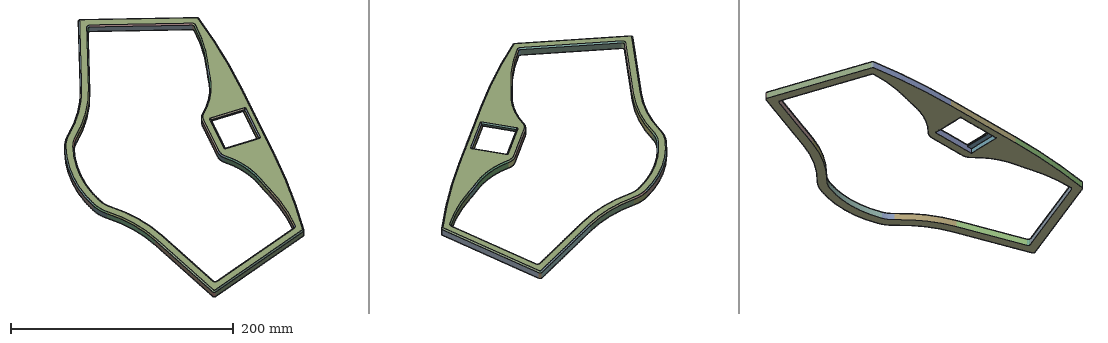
import cadquery as cq
import math

HALF_WIDTH = 167.5
DEPTH = 179.5
THICKNESS = 8.0

BAR_WIDTH = 8.7
SLANT = 20.0
SIDE_LENGTH = 107.8
INNER_SIDE_LENGTH = 94.8
CORNER_RADIUS = 2.0
TOP_CHAMFER = 1.5

LOWER_STEEPEST = 46.4
LOWER_ARCS = [(104.8, SLANT), (33.8, LOWER_STEEPEST), (-116.0, SLANT)]

TOP_FLAT_HALF = 40.2
BRIDGE_FLAT_HALF = 18.8
BRIDGE_DEPTH = 47.0
BRIDGE_BOTTOM = DEPTH - BRIDGE_DEPTH
BRIDGE_JOINTS = [(-27.5, 136.3), (-63.3, 156.0), (-76.7, 159.5)]

WINDOW_WIDTH = 34.8
WINDOW_HEIGHT = 32.0
WINDOW_TOP_GAP = 6.7
MOUTH_SPREAD = 1.45
MOUTH_DEPTH = 1.0
POCKET_OVERLAP = 5.0
POCKET_DEPTH = 5.0

COS = math.cos(math.radians(SLANT))
SIN = math.sin(math.radians(SLANT))


def lower_joints(inset):
    """Ends of the arcs of the lower edge, moved inwards by inset, from the middle to the left."""
    x = 0.0
    y = inset
    slope = 0.0
    joints = [(x, y)]
    for outer_radius, end_slope in LOWER_ARCS:
        radius = outer_radius - inset
        start = math.radians(slope)
        end = math.radians(end_slope)
        x -= radius * (math.sin(end) - math.sin(start))
        y += radius * (math.cos(start) - math.cos(end))
        slope = end_slope
        joints.append((x, y))
    return joints


def lower_corner(inset):
    """Sharp corner between the lower edge and the left side, moved inwards by inset."""
    end_x, end_y = lower_joints(0)[-1]
    corner_x = -HALF_WIDTH - CORNER_RADIUS * (COS + SIN - 1)
    corner_y = end_y + (end_x - corner_x) * SIN / COS
    return corner_x + inset * (COS + SIN), corner_y + inset * (COS - SIN)


def upper_corner(inset, side_length):
    """Sharp corner at the upper end of the left side."""
    x, y = lower_corner(inset)
    return x + side_length * SIN, y + side_length * COS


def closed_plate(half_outline, inset):
    """Finish a left half outline down the side and along the lower edge, mirror it and extrude it."""
    first_joint, *other_joints = reversed(lower_joints(inset))
    half_outline = half_outline.lineTo(*lower_corner(inset)).lineTo(*first_joint)
    for joint in other_joints:
        half_outline = half_outline.tangentArcPoint(joint, relative=False)
    return half_outline.mirrorY().extrude(THICKNESS)


def round_corners(plate, corners):
    """Round the upright edges at the given left corners and at their mirror images."""
    for x, y in corners:
        for side in (1, -1):
            nearest = cq.selectors.NearestToPointSelector((side * x, y, THICKNESS / 2))
            plate = plate.edges("|Z").edges(nearest).fillet(CORNER_RADIUS)
    return plate


def outer_plate():
    corner = upper_corner(0, SIDE_LENGTH)
    half_outline = (
        cq.Workplane("XY")
        .moveTo(0, DEPTH)
        .lineTo(-TOP_FLAT_HALF, DEPTH)
        .tangentArcPoint(corner, relative=False)
    )
    return round_corners(closed_plate(half_outline, 0), [corner, lower_corner(0)])


def opening():
    corner = upper_corner(BAR_WIDTH, INNER_SIDE_LENGTH)
    half_outline = (
        cq.Workplane("XY")
        .moveTo(0, BRIDGE_BOTTOM)
        .lineTo(-BRIDGE_FLAT_HALF, BRIDGE_BOTTOM)
    )
    for joint in BRIDGE_JOINTS + [corner]:
        half_outline = half_outline.tangentArcPoint(joint, relative=False)
    return round_corners(closed_plate(half_outline, BAR_WIDTH), [corner, lower_corner(BAR_WIDTH)])


def window():
    sketch_plane = cq.Workplane("XY").center(0, DEPTH - WINDOW_TOP_GAP - WINDOW_HEIGHT / 2)
    through = sketch_plane.rect(WINDOW_WIDTH, WINDOW_HEIGHT).extrude(THICKNESS)
    pocket = sketch_plane.rect(WINDOW_WIDTH + 2 * POCKET_OVERLAP, WINDOW_HEIGHT).extrude(POCKET_DEPTH)
    flare_angle = math.degrees(math.atan2(MOUTH_SPREAD, MOUTH_DEPTH))
    mouth = (
        sketch_plane.workplane(offset=THICKNESS - MOUTH_DEPTH)
        .rect(WINDOW_WIDTH, WINDOW_HEIGHT)
        .extrude(MOUTH_DEPTH, taper=-flare_angle)
    )
    return through.union(pocket).union(mouth)


frame = outer_plate().cut(opening())
result = frame.faces(">Z").edges().chamfer(TOP_CHAMFER).cut(window())